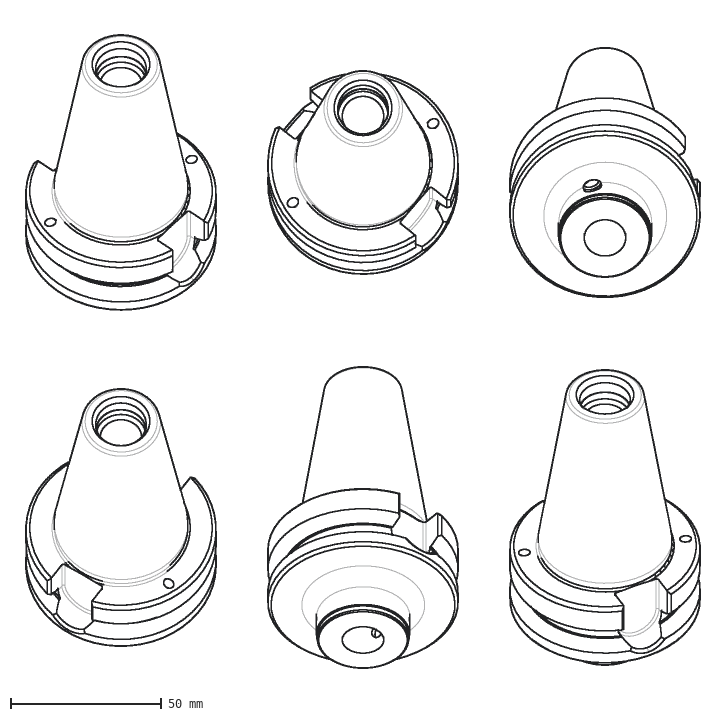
import cadquery as cq
import math

total_height = 107.6

collar_radius = 15.5
nose_radius = 15.2
nose_end_chamfer = 0.4
nose_height = 2.2
collar_fillet = 5.0

flange_radius = 31.6
flange_bottom = 15.2
flange_top = 40.1
flange_top_chamfer = 1.3
flange_bottom_chamfer = 1.1
groove_middle = 25.5
groove_mouth_width = 9.9
groove_floor_width = 4.7
groove_floor_radius = 26.5
groove_flank_angle = 60.0

gauge_radius = 22.3
gauge_height = 43.5
gauge_fillet = 0.8
taper_slope = 7 / 48
small_end_fillet = 1.1

bore_radius = 6.9
pilot_radius = 8.4
pilot_depth = 6.3
counterbore_radius = 8.3
countersink_radius = 9.6
countersink_depth = 2.2
counterbore_depth = 9.3
counterbore_cone_depth = 1.1

slot_width = 16.2
slot_floor = 22.5
slot_end_height = 27.1
slot_floor_fillet = 0.8
slot_edge_chamfer = 1.1

coolant_diameter = 3.1
coolant_circle_radius = 27.0
coolant_angle = 70.0
coolant_tilt = 36.0
coolant_length = 21.5

screw_diameter = 6.0
screw_height = 8.2
screw_inner_end = 7.5
screw_outer_end = 16.8
screw_chamfer = 0.6


def make_turned_body():
    """Solid of revolution: collar, grooved flange and taper shank."""
    groove_bottom = groove_middle - groove_mouth_width / 2
    groove_top = groove_middle + groove_mouth_width / 2
    floor_bottom = groove_middle - groove_floor_width / 2
    floor_top = groove_middle + groove_floor_width / 2
    flank_height = (groove_mouth_width - groove_floor_width) / 2
    flank_run = flank_height * math.tan(math.radians(groove_flank_angle))
    flank_end_radius = flange_radius - flank_run

    small_end_radius = gauge_radius - taper_slope * (total_height - gauge_height)
    diagonal = math.sqrt(0.5)
    collar_arc_mid = (
        collar_radius + collar_fillet * (1 - diagonal),
        flange_bottom - collar_fillet * (1 - diagonal),
    )
    gauge_arc_mid = (
        gauge_radius + gauge_fillet * (1 - diagonal),
        flange_top + gauge_fillet * (1 - diagonal),
    )
    profile = (
        cq.Workplane("XZ")
        .moveTo(0, 0)
        .lineTo(nose_radius - nose_end_chamfer, 0)
        .lineTo(nose_radius, nose_end_chamfer)
        .lineTo(nose_radius, nose_height)
        .lineTo(collar_radius, nose_height + collar_radius - nose_radius)
        .lineTo(collar_radius, flange_bottom - collar_fillet)
        .threePointArc(collar_arc_mid, (collar_radius + collar_fillet, flange_bottom))
        .lineTo(flange_radius - flange_bottom_chamfer, flange_bottom)
        .lineTo(flange_radius, flange_bottom + flange_bottom_chamfer)
        .lineTo(flange_radius, groove_bottom)
        .lineTo(flank_end_radius, floor_bottom)
        .lineTo(groove_floor_radius, floor_bottom)
        .lineTo(groove_floor_radius, floor_top)
        .lineTo(flank_end_radius, floor_top)
        .lineTo(flange_radius, groove_top)
        .lineTo(flange_radius, flange_top - flange_top_chamfer)
        .lineTo(flange_radius - flange_top_chamfer, flange_top)
        .lineTo(gauge_radius + gauge_fillet, flange_top)
        .threePointArc(gauge_arc_mid, (gauge_radius, flange_top + gauge_fillet))
        .lineTo(gauge_radius, gauge_height)
        .lineTo(small_end_radius, total_height)
        .lineTo(0, total_height)
        .close()
    )
    turned = profile.revolve(360, (0, 0, 0), (0, 1, 0))
    return turned.faces(">Z").edges().fillet(small_end_fillet)


def make_slotted_envelope():
    """Plain cylinder with both drive slots; it trims the turned body to add them."""
    envelope = cq.Workplane("XY").circle(flange_radius).extrude(total_height)
    for side in (-1, 1):
        slot = (
            cq.Workplane("YZ", origin=(side * slot_floor, 0, 0))
            .moveTo(-slot_width / 2, total_height)
            .lineTo(-slot_width / 2, slot_end_height)
            .threePointArc((0, slot_end_height - slot_width / 2), (slot_width / 2, slot_end_height))
            .lineTo(slot_width / 2, total_height)
            .close()
            .extrude(side * flange_radius)
        )
        floor_edges = slot.faces("<X" if side > 0 else ">X").edges("not >Z")
        envelope = envelope.cut(floor_edges.fillet(slot_floor_fillet))

    slot_bottom = slot_end_height - slot_width / 2
    rim_inner_x = (slot_floor + flange_radius) / 2 + slot_edge_chamfer
    for side in (-1, 1):
        rim_zone = cq.selectors.BoxSelector(
            (side * rim_inner_x, -slot_width, slot_bottom),
            (side * 2 * flange_radius, slot_width, total_height),
        )
        envelope = envelope.edges(rim_zone).chamfer(slot_edge_chamfer)
    return envelope


def make_bore():
    """Through bore with a stepped, countersunk counterbore at the small end of the taper."""
    ledge_height = total_height - counterbore_depth
    return (
        cq.Workplane("XZ")
        .moveTo(0, 0)
        .lineTo(bore_radius, 0)
        .lineTo(bore_radius, ledge_height - counterbore_cone_depth)
        .lineTo(counterbore_radius, ledge_height)
        .lineTo(counterbore_radius, total_height - pilot_depth)
        .lineTo(pilot_radius, total_height - pilot_depth)
        .lineTo(pilot_radius, total_height - countersink_depth)
        .lineTo(countersink_radius, total_height)
        .lineTo(0, total_height)
        .close()
        .revolve(360, (0, 0, 0), (0, 1, 0))
    )


def make_coolant_hole(angle):
    """Blind hole that leans toward the axis as it goes down from the flange top."""
    tilt = math.radians(coolant_tilt)
    direction = cq.Vector(-math.sin(tilt), 0, -math.cos(tilt))
    mouth = cq.Vector(coolant_circle_radius, 0, flange_top)
    overrun = coolant_diameter
    hole = cq.Solid.makeCylinder(
        coolant_diameter / 2,
        coolant_length + overrun,
        mouth - direction * overrun,
        direction,
    )
    return hole.rotate(cq.Vector(0, 0, 0), cq.Vector(0, 0, 1), angle)


def make_screw_rod(inner_end, outer_end):
    """Cylinder along +Y at the clamp screw's place."""
    return (
        cq.Workplane("XZ", origin=(0, inner_end, screw_height))
        .circle(screw_diameter / 2)
        .extrude(inner_end - outer_end)
    )


def make_holder():
    holder = make_turned_body().intersect(make_slotted_envelope())
    holder = holder.cut(make_bore())
    for angle in (coolant_angle, coolant_angle + 180):
        holder = holder.cut(cq.Workplane(obj=make_coolant_hole(angle)))
    return holder.cut(make_screw_rod(0, screw_outer_end))


def make_clamp_screw():
    screw = make_screw_rod(screw_inner_end, screw_outer_end)
    return screw.faces(">Y").chamfer(screw_chamfer)


holder = make_holder()
clamp_screw = make_clamp_screw()
result = cq.Compound.makeCompound([holder.val(), clamp_screw.val()])